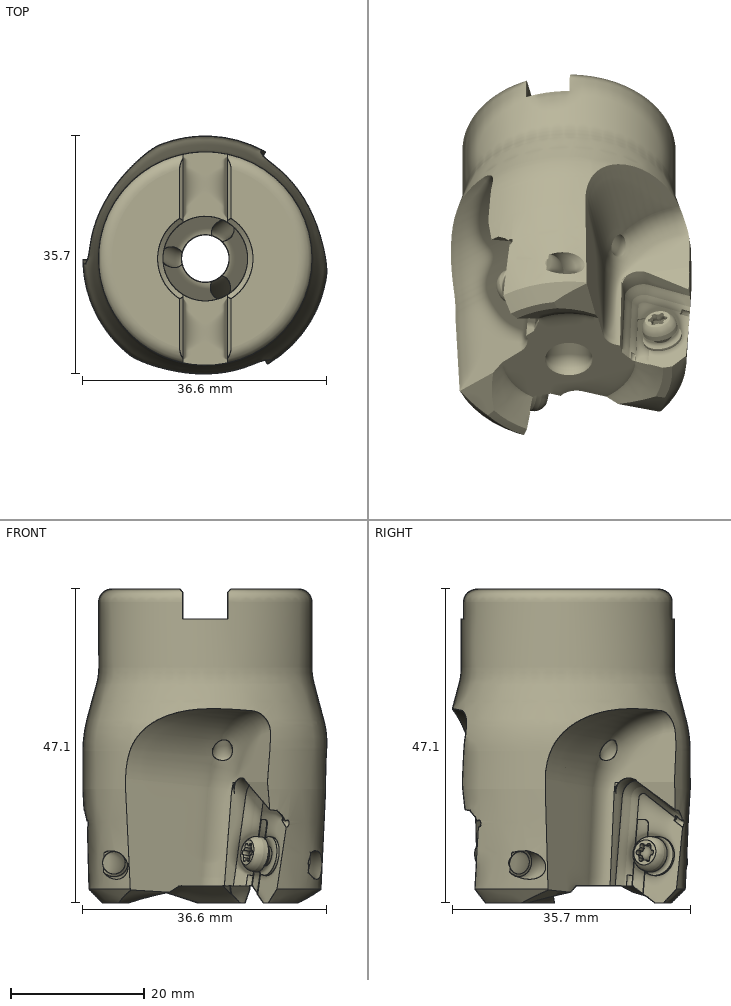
import cadquery as cq
import math

TOOTH_ANGLES = (180, 60, -60)
BEYOND_BODY = 25.0

BODY_HEIGHT = 47.1
HUB_RADIUS = 16.0
HUB_ROUNDING = 2.0
HUB_BASE_Z = 35.3
TAPER_ANGLE = math.radians(14.9)
TAPER_TOP_Z = 32.9
TAPER_BASE_Z = 27.5
WAIST_TOP_Z = 22.8
WAIST_BASE_Z = 17.1
TIP_RADIUS = 17.6
TIP_CHAMFER = 2.1
FACE_RECESS_DEPTH = 2.6
FACE_RECESS_RADIUS = 10.0
FACE_RING_INNER_RADIUS = 14.1

BORE_RADIUS = 6.35
BORE_FLOOR_Z = 28.0
BORE_CHAMFER = 0.8
THROUGH_RADIUS = 3.55
SLOT_WIDTH = 6.7
SLOT_DEPTH = 4.5
SLOT_CHAMFER = 0.5

FLUTE_TILT = 5.0
FLUTE_WALL_OFFSET = 1.43
FLUTE_FLOOR_RADIUS = 6.1
FLUTE_FLAT_LENGTH = 17.2
FLUTE_RUNOUT_RADIUS = 11.5
FLUTE_FILLET = 3.0

HEEL_TILT = 3.0
HEEL_SLOPE = 0.37
HEEL_HEIGHT = 1.12
HEEL_START = 5.0
HEEL_OUTER_RADIUS = 8.0

SEAT_TILT = 9.0
SEAT_OFFSET = -2.0
SEAT_WALL_RADIUS = 8.1
SEAT_WALL_LENGTH = 15.95
SEAT_CORNER_RADIUS = 2.3
SEAT_TOP_ANGLE = math.radians(33)
SEAT_OPENING_DEPTH = 6.0
SEAT_FLOOR_INSET = 1.6
SEAT_LEDGE_INSET = 0.8
SEAT_LEDGE_HEIGHT = 0.8
SEAT_UPPER_HEIGHT = 2.2
STRIP_OUTER_RADIUS = 11.7
STRIP_LENGTH = 12.7
STRIP_DEPTH = 0.12
STRIP_ROUNDING = 0.8
RELIEF_RADIUS = 0.6
RELIEF_LENGTH = 4.2
GROOVE_RADIUS = 0.45
GROOVE_START_RADIUS = 16.3
WALL_FACET_TOP_Z = 18.1
WALL_FACET_HEIGHT = 8.0
WALL_FACET_ANGLE = math.radians(7)

COOLANT_RADIUS = 1.5
COOLANT_INLET = (4.9, 0.2, BORE_FLOOR_Z)
COOLANT_OUTLET = (8.1, 1.7, 22.6)
COOLANT_OVERRUN = 3.0

SCREW_AXIS_RADIUS = 13.7
SCREW_AXIS_HEIGHT = 7.1
REAR_BORE_RADIUS = 2.1
SHANK_RADIUS = 1.7
SHANK_END = -6.2
COLLAR_RADIUS = 2.95
COLLAR_TOP = 0.4
NECK_RADIUS = 1.5
HEAD_RADIUS = 2.65
HEAD_CONE_BASE = 0.8
HEAD_RIM_BASE = 1.7
HEAD_RIM_TOP = 2.5
HEAD_TOP = 3.8
HEAD_FACE_RADIUS = 1.9
HEAD_DOME_RADIUS = 2.0
SOCKET_DEPTH = 1.2
SOCKET_CORE_RADIUS = 1.15
SOCKET_LOBE_RADIUS = 0.35
SOCKET_LOBES = 6


def tilted_plane(offset, tilt):
    """Plane square to a tooth: local x is radial, local y is up, the normal is the cutting side."""
    angle = math.radians(tilt)
    return cq.Plane(
        origin=(0, -offset, 0),
        xDir=(1, 0, 0),
        normal=(0, -math.cos(angle), math.sin(angle)),
    )


def seat_workplane(height=0.0):
    return cq.Workplane(tilted_plane(SEAT_OFFSET, SEAT_TILT)).workplane(offset=height)


def arc_middle(start, end, centre, radius):
    """Point halfway along the short arc from start to end."""
    dx = (start[0] + end[0]) / 2 - centre[0]
    dy = (start[1] + end[1]) / 2 - centre[1]
    length = math.hypot(dx, dy)
    return (centre[0] + radius * dx / length, centre[1] + radius * dy / length)


def make_blank():
    blend_radius = (HUB_BASE_Z - TAPER_TOP_Z) / math.sin(TAPER_ANGLE)
    taper_top_radius = HUB_RADIUS + blend_radius * (1 - math.cos(TAPER_ANGLE))
    taper_base_radius = taper_top_radius + (TAPER_TOP_Z - TAPER_BASE_Z) * math.tan(TAPER_ANGLE)
    shoulder_radius = (TAPER_BASE_Z - WAIST_TOP_Z) / math.sin(TAPER_ANGLE)
    waist_radius = taper_base_radius + shoulder_radius * (1 - math.cos(TAPER_ANGLE))

    hub_base = (HUB_RADIUS, HUB_BASE_Z)
    taper_top = (taper_top_radius, TAPER_TOP_Z)
    blend_centre = (HUB_RADIUS + blend_radius, HUB_BASE_Z)
    taper_base = (taper_base_radius, TAPER_BASE_Z)
    waist_top = (waist_radius, WAIST_TOP_Z)
    shoulder_centre = (waist_radius - shoulder_radius, WAIST_TOP_Z)
    outline = (
        cq.Workplane("XZ")
        .moveTo(0, BODY_HEIGHT)
        .lineTo(HUB_RADIUS - HUB_ROUNDING, BODY_HEIGHT)
        .radiusArc((HUB_RADIUS, BODY_HEIGHT - HUB_ROUNDING), HUB_ROUNDING)
        .lineTo(*hub_base)
        .threePointArc(arc_middle(hub_base, taper_top, blend_centre, blend_radius), taper_top)
        .lineTo(*taper_base)
        .threePointArc(arc_middle(taper_base, waist_top, shoulder_centre, shoulder_radius), waist_top)
        .lineTo(waist_radius, WAIST_BASE_Z)
        .lineTo(TIP_RADIUS, TIP_CHAMFER)
        .lineTo(TIP_RADIUS - TIP_CHAMFER, 0)
        .lineTo(FACE_RING_INNER_RADIUS, 0)
        .lineTo(FACE_RECESS_RADIUS, FACE_RECESS_DEPTH)
        .lineTo(0, FACE_RECESS_DEPTH)
        .close()
    )
    return outline.revolve(360, (0, 0, 0), (0, 1, 0))


def make_bore():
    outline = (
        cq.Workplane("XZ")
        .moveTo(0, BODY_HEIGHT)
        .lineTo(BORE_RADIUS + BORE_CHAMFER, BODY_HEIGHT)
        .lineTo(BORE_RADIUS, BODY_HEIGHT - BORE_CHAMFER)
        .lineTo(BORE_RADIUS, BORE_FLOOR_Z)
        .lineTo(THROUGH_RADIUS, BORE_FLOOR_Z)
        .lineTo(THROUGH_RADIUS, 0)
        .lineTo(0, 0)
        .close()
    )
    return outline.revolve(360, (0, 0, 0), (0, 1, 0))


def make_drive_slot():
    half = SLOT_WIDTH / 2
    return (
        cq.Workplane("XZ")
        .moveTo(-half, BODY_HEIGHT - SLOT_DEPTH)
        .lineTo(half, BODY_HEIGHT - SLOT_DEPTH)
        .lineTo(half, BODY_HEIGHT - SLOT_CHAMFER)
        .lineTo(half + SLOT_CHAMFER, BODY_HEIGHT)
        .lineTo(-half - SLOT_CHAMFER, BODY_HEIGHT)
        .lineTo(-half, BODY_HEIGHT - SLOT_CHAMFER)
        .close()
        .extrude(BEYOND_BODY, both=True)
    )


def make_flute():
    """Flat floor, curved run-out at the top and a rounded corner along the back wall."""
    runout_end = (FLUTE_FLOOR_RADIUS + FLUTE_RUNOUT_RADIUS, FLUTE_FLAT_LENGTH + FLUTE_RUNOUT_RADIUS)
    bottom = -BEYOND_BODY / 2
    prism = (
        cq.Workplane(tilted_plane(FLUTE_WALL_OFFSET, FLUTE_TILT))
        .moveTo(FLUTE_FLOOR_RADIUS, bottom)
        .lineTo(FLUTE_FLOOR_RADIUS, FLUTE_FLAT_LENGTH)
        .radiusArc(runout_end, FLUTE_RUNOUT_RADIUS)
        .lineTo(BEYOND_BODY, runout_end[1])
        .lineTo(BEYOND_BODY, bottom)
        .close()
        .extrude(BEYOND_BODY)
    )
    inner_edges = cq.selectors.BoxSelector(
        (0, -BEYOND_BODY, bottom),
        (BEYOND_BODY - FLUTE_FILLET, BEYOND_BODY, BODY_HEIGHT),
    )
    wall_edges = prism.faces(">Y").edges(inner_edges).edges("not <Z")
    return prism.newObject(wall_edges.vals()).fillet(FLUTE_FILLET)


def make_heel_relief():
    foot = -BEYOND_BODY / 8
    return (
        cq.Workplane(tilted_plane(0, HEEL_TILT))
        .workplane(offset=HEEL_START)
        .moveTo(HEEL_OUTER_RADIUS, foot)
        .lineTo(HEEL_OUTER_RADIUS, HEEL_HEIGHT + HEEL_SLOPE * (HEEL_OUTER_RADIUS - FLUTE_FLOOR_RADIUS))
        .lineTo(FLUTE_FLOOR_RADIUS - (HEEL_HEIGHT - foot) / HEEL_SLOPE, foot)
        .close()
        .extrude(BEYOND_BODY)
    )


def seat_outline(height, inset):
    """Seat boundary: inner wall, rounded corner and sloping top, moved inward by the inset."""
    wall = SEAT_WALL_RADIUS + inset
    rounding = SEAT_CORNER_RADIUS - inset
    centre_radius = SEAT_WALL_RADIUS + SEAT_CORNER_RADIUS
    slope_start = (
        centre_radius + rounding * math.sin(SEAT_TOP_ANGLE),
        SEAT_WALL_LENGTH + rounding * math.cos(SEAT_TOP_ANGLE),
    )
    slope_end_height = slope_start[1] - (BEYOND_BODY - slope_start[0]) * math.tan(SEAT_TOP_ANGLE)
    bottom = -BEYOND_BODY / 5
    return (
        seat_workplane(height)
        .moveTo(wall, bottom)
        .lineTo(wall, SEAT_WALL_LENGTH)
        .radiusArc(slope_start, rounding)
        .lineTo(BEYOND_BODY, slope_end_height)
        .lineTo(BEYOND_BODY, bottom)
        .close()
    )


def make_seat():
    """Recess whose sides flare outward in two stages and then rise straight."""
    stages = (
        (0, SEAT_FLOOR_INSET),
        (SEAT_LEDGE_HEIGHT, SEAT_LEDGE_INSET),
        (SEAT_UPPER_HEIGHT, 0),
    )
    seat = seat_outline(SEAT_UPPER_HEIGHT, 0).extrude(SEAT_OPENING_DEPTH - SEAT_UPPER_HEIGHT)
    for (base, base_inset), (top, top_inset) in zip(stages, stages[1:]):
        flare = math.degrees(math.atan2(base_inset - top_inset, top - base))
        seat = seat.union(seat_outline(base, base_inset).extrude(top - base, taper=-flare))
    return seat


def make_seat_strip():
    """Shallow recess in the seat floor beside the inner wall, with one rounded corner."""
    wall = SEAT_WALL_RADIUS + SEAT_FLOOR_INSET
    bottom = -BEYOND_BODY / 5
    return (
        seat_workplane(-STRIP_DEPTH)
        .moveTo(wall, bottom)
        .lineTo(wall, STRIP_LENGTH)
        .lineTo(STRIP_OUTER_RADIUS - STRIP_ROUNDING, STRIP_LENGTH)
        .radiusArc((STRIP_OUTER_RADIUS, STRIP_LENGTH - STRIP_ROUNDING), STRIP_ROUNDING)
        .lineTo(STRIP_OUTER_RADIUS, bottom)
        .close()
        .extrude(SEAT_OPENING_DEPTH)
    )


def make_seat_groove():
    """Round relief in the outer end of the corner between the seat floor and its sloping top."""
    rounding = SEAT_CORNER_RADIUS - SEAT_FLOOR_INSET
    slope_radius = SEAT_WALL_RADIUS + SEAT_CORNER_RADIUS + rounding * math.sin(SEAT_TOP_ANGLE)
    slope_height = SEAT_WALL_LENGTH + rounding * math.cos(SEAT_TOP_ANGLE)
    start_height = slope_height - (GROOVE_START_RADIUS - slope_radius) * math.tan(SEAT_TOP_ANGLE)
    plane = tilted_plane(SEAT_OFFSET, SEAT_TILT)
    start = plane.toWorldCoords((GROOVE_START_RADIUS, start_height, 0))
    end = plane.toWorldCoords(
        (BEYOND_BODY, start_height - (BEYOND_BODY - GROOVE_START_RADIUS) * math.tan(SEAT_TOP_ANGLE), 0)
    )
    run = end - start
    return cq.Workplane(cq.Solid.makeCylinder(GROOVE_RADIUS, run.Length, start, run))


def make_corner_relief():
    """Round relief at the lower end of the corner between the seat floor and its inner wall."""
    top_centre = (SEAT_WALL_RADIUS + SEAT_FLOOR_INSET, RELIEF_LENGTH, RELIEF_RADIUS)
    return (
        seat_workplane()
        .transformed(rotate=(90, 0, 0), offset=top_centre)
        .circle(RELIEF_RADIUS)
        .extrude(BEYOND_BODY / 2)
    )


def make_wall_facet():
    """Wedge that leans the flute wall back above the seat."""
    top_offset = FLUTE_WALL_OFFSET - WALL_FACET_TOP_Z * math.tan(math.radians(FLUTE_TILT))
    base_z = WALL_FACET_TOP_Z - WALL_FACET_HEIGHT
    base_offset = top_offset - WALL_FACET_HEIGHT * math.tan(WALL_FACET_ANGLE)
    front_offset = FLUTE_WALL_OFFSET
    return (
        cq.Workplane("YZ")
        .workplane(offset=SEAT_WALL_RADIUS)
        .moveTo(-top_offset, WALL_FACET_TOP_Z)
        .lineTo(-base_offset, base_z)
        .lineTo(-front_offset, base_z)
        .close()
        .extrude(BEYOND_BODY)
    )


def make_coolant_hole():
    inlet = cq.Vector(COOLANT_INLET[0], -COOLANT_INLET[1], COOLANT_INLET[2])
    outlet = cq.Vector(COOLANT_OUTLET[0], -COOLANT_OUTLET[1], COOLANT_OUTLET[2])
    direction = (outlet - inlet).normalized()
    start = inlet - direction * COOLANT_OVERRUN
    length = (outlet - inlet).Length + 2 * COOLANT_OVERRUN
    return cq.Workplane(cq.Solid.makeCylinder(COOLANT_RADIUS, length, start, direction))


def screw_workplane(height):
    return seat_workplane(height).center(SCREW_AXIS_RADIUS, SCREW_AXIS_HEIGHT)


def make_screw_hole():
    """Hole that fits the shank and opens into a wider bore behind the end of the screw."""
    shank_hole = screw_workplane(0).circle(SHANK_RADIUS).extrude(SHANK_END)
    rear_bore = screw_workplane(SHANK_END).circle(REAR_BORE_RADIUS).extrude(-BEYOND_BODY / 2)
    return shank_hole.union(rear_bore)


def make_screw():
    seat_axis = screw_workplane(0).plane
    section = cq.Plane(seat_axis.origin, xDir=seat_axis.xDir, normal=-seat_axis.yDir)
    screw = (
        cq.Workplane(section)
        .moveTo(0, SHANK_END)
        .lineTo(SHANK_RADIUS, SHANK_END)
        .lineTo(SHANK_RADIUS, 0)
        .lineTo(COLLAR_RADIUS, 0)
        .lineTo(COLLAR_RADIUS, COLLAR_TOP)
        .lineTo(NECK_RADIUS, COLLAR_TOP)
        .lineTo(NECK_RADIUS, HEAD_CONE_BASE)
        .lineTo(HEAD_RADIUS, HEAD_RIM_BASE)
        .lineTo(HEAD_RADIUS, HEAD_RIM_TOP)
        .radiusArc((HEAD_FACE_RADIUS, HEAD_TOP), -HEAD_DOME_RADIUS)
        .lineTo(0, HEAD_TOP)
        .close()
        .revolve(360, (0, 0, 0), (0, 1, 0))
    )
    socket = screw_workplane(HEAD_TOP).circle(SOCKET_CORE_RADIUS).extrude(-SOCKET_DEPTH)
    lobes = (
        screw_workplane(HEAD_TOP)
        .polarArray(SOCKET_CORE_RADIUS, 0, 360, SOCKET_LOBES)
        .circle(SOCKET_LOBE_RADIUS)
        .extrude(-SOCKET_DEPTH)
    )
    return screw.cut(socket).cut(lobes)


def at_tooth(shape, angle):
    return shape.rotate((0, 0, 0), (0, 0, 1), angle)


tooth_cutters = (
    make_flute(),
    make_heel_relief(),
    make_wall_facet(),
    make_seat(),
    make_seat_strip(),
    make_seat_groove(),
    make_corner_relief(),
    make_coolant_hole(),
    make_screw_hole(),
)

cutter_body = make_blank().cut(make_bore()).cut(make_drive_slot())
for tooth_angle in TOOTH_ANGLES:
    for cutter in tooth_cutters:
        cutter_body = cutter_body.cut(at_tooth(cutter, tooth_angle))

clamp_screw = make_screw()
clamp_screws = [at_tooth(clamp_screw, tooth_angle).val() for tooth_angle in TOOTH_ANGLES]

result = cq.Compound.makeCompound([cutter_body.val(), *clamp_screws])